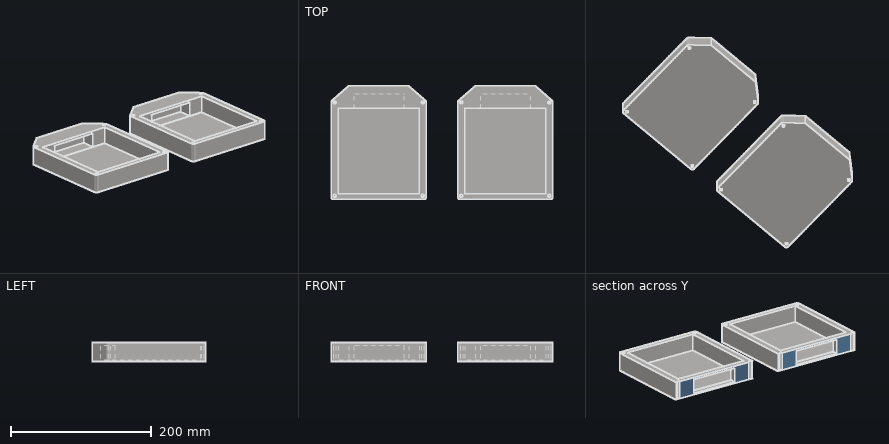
import cadquery as cq

OVERALL_LENGTH = 315.0
TRAY_WIDTH = 135.0
TRAY_LENGTH = 161.5
TRAY_HEIGHT = 27.0
TRAY_PITCH = OVERALL_LENGTH - TRAY_WIDTH

TAPER_WIDTH = 25.2
TAPER_LENGTH = 22.0
CORNER_RADIUS = 3.0

SIDE_WALL = 10.0
FRONT_WALL = 8.0
FLOOR_THICKNESS = 2.8
CAVITY_WIDTH = TRAY_WIDTH - 2 * SIDE_WALL
CAVITY_LENGTH = 122.0
CAVITY_BACK = FRONT_WALL + CAVITY_LENGTH

STEP_DEPTH = 0.3
LEDGE_WIDTH = 0.3

POCKET_WIDTH = 70.5
POCKET_DEPTH = 20.2
POCKET_ROOF = 3.8

HOLE_DIAMETER = 3.5
HOLE_INSET = 5.0
HOLE_SPACING_X = TRAY_WIDTH - 2 * HOLE_INSET
HOLE_SPACING_Y = 132.5


def tray_blank():
    """Solid block with its front edge on Y = 0, centred on X = 0."""
    half_width = TRAY_WIDTH / 2
    half_back = half_width - TAPER_WIDTH
    shoulder = TRAY_LENGTH - TAPER_LENGTH
    outline = [
        (-half_width, 0),
        (half_width, 0),
        (half_width, shoulder),
        (half_back, TRAY_LENGTH),
        (-half_back, TRAY_LENGTH),
        (-half_width, shoulder),
    ]
    blank = cq.Workplane("XY").polyline(outline).close().extrude(TRAY_HEIGHT)
    left_and_right_corners = blank.edges("|Z and (<X or >X)")
    return left_and_right_corners.fillet(CORNER_RADIUS)


def cavity():
    """Main cavity above the floor."""
    return (
        cq.Workplane("XY", origin=(0, FRONT_WALL, FLOOR_THICKNESS))
        .box(CAVITY_WIDTH, CAVITY_LENGTH, TRAY_HEIGHT, centered=(True, False, False))
    )


def floor_step():
    """Lowered floor area in front of the ledge."""
    step_length = CAVITY_LENGTH - LEDGE_WIDTH
    return (
        cq.Workplane("XY", origin=(0, FRONT_WALL, FLOOR_THICKNESS - STEP_DEPTH))
        .box(CAVITY_WIDTH, step_length, STEP_DEPTH, centered=(True, False, False))
    )


def back_pocket():
    """Pocket behind the cavity, between the floor and its roof."""
    pocket_height = TRAY_HEIGHT - FLOOR_THICKNESS - POCKET_ROOF
    return (
        cq.Workplane("XY", origin=(0, CAVITY_BACK, FLOOR_THICKNESS))
        .box(POCKET_WIDTH, POCKET_DEPTH, pocket_height, centered=(True, False, False))
    )


def screw_holes():
    """Four through holes near the side corners."""
    return (
        cq.Workplane("XY", origin=(0, HOLE_INSET + HOLE_SPACING_Y / 2, 0))
        .rarray(HOLE_SPACING_X, HOLE_SPACING_Y, 2, 2)
        .circle(HOLE_DIAMETER / 2)
        .extrude(TRAY_HEIGHT)
    )


def tray(center_x):
    """Complete tray centred on the given X position."""
    body = tray_blank().cut(cavity()).cut(floor_step()).cut(back_pocket()).cut(screw_holes())
    return body.translate((center_x, 0, 0))


trays = [tray(side * TRAY_PITCH / 2) for side in (-1, 1)]

result = cq.Compound.makeCompound([body.val() for body in trays])